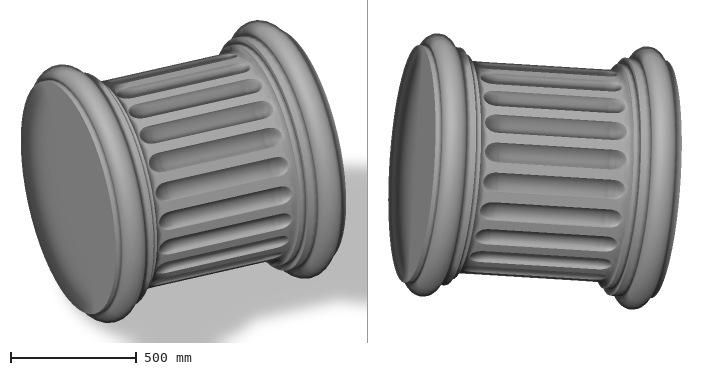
import cadquery as cq
import math

max_diameter = 1050.0
drum_length = 1000.0

bead_radius = 50.0
bead_position = 75.0
plinth_radius = max_diameter / 2 - bead_radius
plinth_depth = 165.0
step_size = 25.0
step_radius = plinth_radius - step_size
step_depth = plinth_depth + step_size
cove_radius = 25.0
shaft_radius = step_radius - cove_radius
cove_depth = step_depth + cove_radius

flute_count = 22
flute_pitch = 16.3
flute_radius = 40.0
flute_bend_radius = 32.0
flute_end_depth = 276.0
flute_straight = drum_length - 2 * flute_end_depth

half_length = drum_length / 2


def make_drum():
    """Stepped, beaded drum turned about Y and mirrored across its middle."""
    cove_mid = cove_radius * math.sin(math.pi / 4)
    half = (
        cq.Workplane("XY")
        .lineTo(shaft_radius, 0)
        .lineTo(shaft_radius, half_length - cove_depth)
        .threePointArc(
            (step_radius - cove_mid, half_length - cove_depth + cove_mid),
            (step_radius, half_length - step_depth),
        )
        .lineTo(step_radius, half_length - plinth_depth)
        .lineTo(plinth_radius, half_length - plinth_depth)
        .lineTo(plinth_radius, half_length - bead_position - bead_radius)
        .threePointArc(
            (plinth_radius + bead_radius, half_length - bead_position),
            (plinth_radius, half_length - bead_position + bead_radius),
        )
        .lineTo(plinth_radius, half_length)
        .lineTo(0, half_length)
        .close()
        .revolve(360, (0, 0, 0), (0, 1, 0))
    )
    return half.union(half.mirror("XZ"))


def make_flute_cutter():
    """U-section bar along the top of the shaft, with both ends curving up and out of the surface."""
    end_axis_height = shaft_radius + flute_bend_radius
    section = (
        cq.Workplane("XZ", origin=(0, flute_straight / 2, 0))
        .moveTo(-flute_radius, end_axis_height)
        .lineTo(-flute_radius, shaft_radius)
        .threePointArc((0, shaft_radius - flute_radius), (flute_radius, shaft_radius))
        .lineTo(flute_radius, end_axis_height)
        .close()
    )
    bar = section.extrude(flute_straight)
    rounded_end = section.toPending().revolve(
        360, (-flute_radius, end_axis_height, 0), (flute_radius, end_axis_height, 0)
    )
    return bar.union(rounded_end).union(rounded_end.mirror("XZ"))


def cut_flutes(drum):
    """Cut the flutes one pitch apart, starting at +Z and turning toward +X."""
    cutter = make_flute_cutter()
    for index in range(flute_count):
        drum = drum.cut(cutter.rotate((0, 0, 0), (0, 1, 0), index * flute_pitch))
    return drum


result = cut_flutes(make_drum())